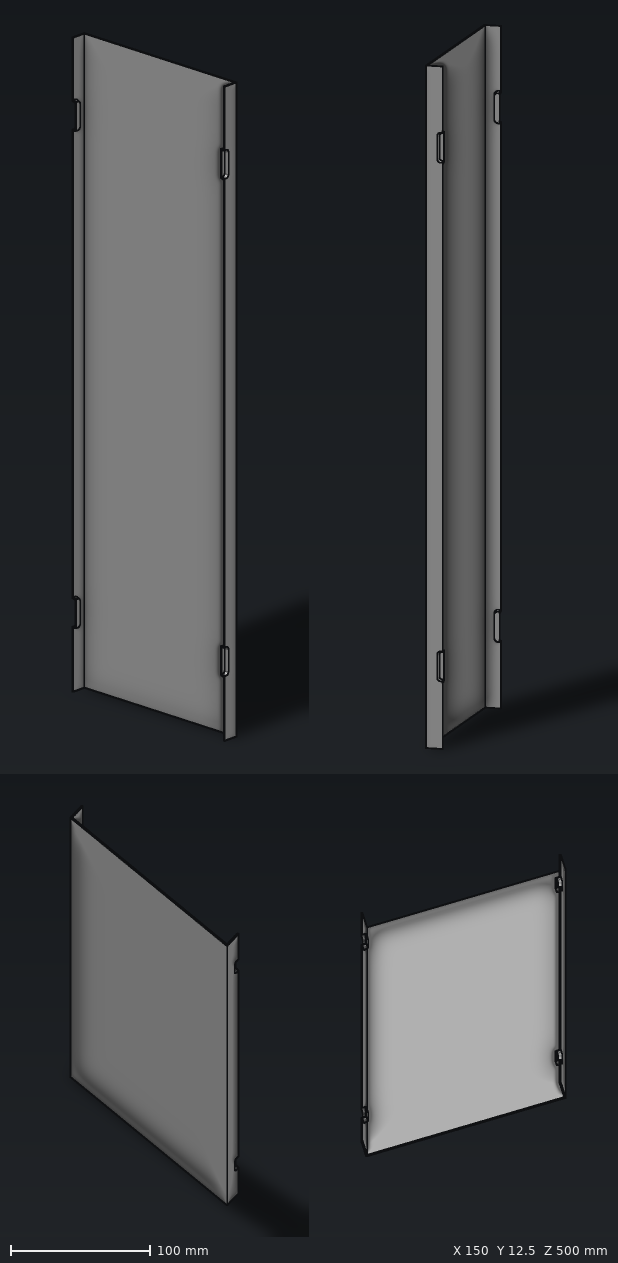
import cadquery as cq
import math

width = 150.0
depth = 12.5
height = 500.0
sheet = 1.0

mouth_length = 22.0
mouth_reach = 4.0
mouth_corner = 2.5
dimple_offset = 3.0
wall_slant = 1.0
wall_taper = math.degrees(math.atan2(wall_slant, dimple_offset))
upper_dimple_z = 440.5
lower_dimple_z = 60.5


def make_channel():
    """Flat back panel with a flange along each long side, open towards -Y."""
    outer = cq.Workplane("XY").box(width, depth, height, centered=(True, False, False))
    inner = cq.Workplane("XY").box(
        width - 2 * sheet, depth - sheet, height, centered=(True, False, False)
    )
    return outer.cut(inner)


def dimple_block(center_z, margin, x_start):
    """Tapered, round-cornered block reaching back (+Y) from the free edge.

    It grows inwards from x_start; margin enlarges the mouth outline all round.
    """
    length = mouth_length + 2 * margin
    reach = mouth_reach + margin
    outline = cq.Sketch().rect(2 * reach, length).vertices().fillet(mouth_corner + margin)
    full_block = (
        cq.Workplane("YZ", origin=(x_start, 0, center_z))
        .placeSketch(outline)
        .extrude(dimple_offset, taper=wall_taper)
    )
    rear_half = cq.Workplane("XY").box(width, depth, height, centered=(True, False, False))
    return full_block.intersect(rear_half)


def add_dimples(body, center_z):
    """Press one dimple inwards into each flange at the given height."""
    left = -width / 2
    shell = dimple_block(center_z, sheet, left + sheet)
    recess = dimple_block(center_z, 0, left)
    for block in (shell, shell.mirror("YZ")):
        body = body.union(block)
    for block in (recess, recess.mirror("YZ")):
        body = body.cut(block)
    return body


result = make_channel()
for dimple_z in (lower_dimple_z, upper_dimple_z):
    result = add_dimples(result, dimple_z)